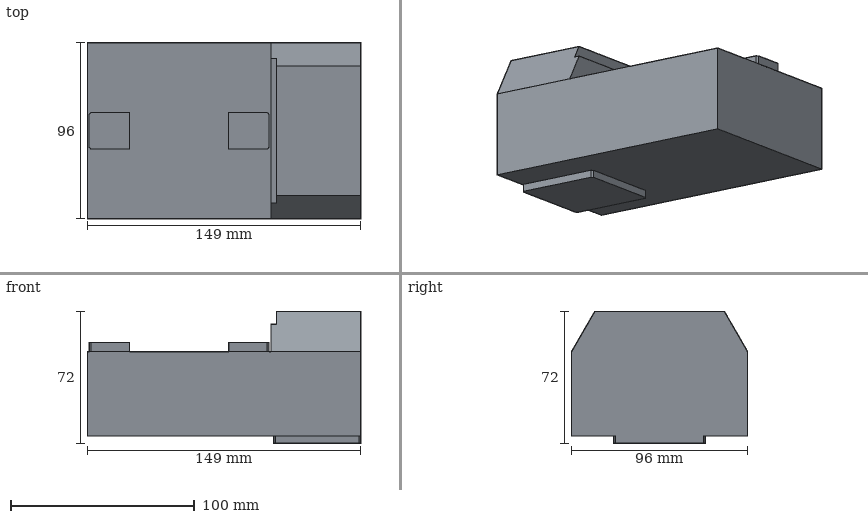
import cadquery as cq
import math

BODY_LENGTH = 149.0
BODY_WIDTH = 96.0
BODY_HEIGHT = 46.0

HEAD_START = 100.0
HEAD_HEIGHT = 22.0
HEAD_SIDE_ANGLE = 60.0
STEP_HEIGHT = 15.0
STEP_DEPTH = 3.0

PAD_LENGTH = 22.0
PAD_WIDTH = 20.0
PAD_HEIGHT = 5.0
PAD_END_GAP = 1.0

BASE_LENGTH = 47.5
BASE_WIDTH = 50.0
BASE_HEIGHT = 4.0

CORNER_CHAMFER = 1.0


def block(start_x, length, width, bottom_z, height):
    """Box centred on Y, starting at start_x and standing on bottom_z."""
    return (
        cq.Workplane("XY", origin=(start_x, 0, bottom_z))
        .box(length, width, height, centered=(False, True, False))
    )


def make_head():
    head_length = BODY_LENGTH - HEAD_START
    side_inset = HEAD_HEIGHT / math.tan(math.radians(HEAD_SIDE_ANGLE))
    half_foot = BODY_WIDTH / 2
    half_top = half_foot - side_inset
    head = (
        cq.Workplane("YZ", origin=(HEAD_START, 0, BODY_HEIGHT))
        .polyline([
            (-half_foot, 0),
            (half_foot, 0),
            (half_top, HEAD_HEIGHT),
            (-half_top, HEAD_HEIGHT),
        ])
        .close()
        .extrude(head_length)
    )
    step = block(
        HEAD_START, STEP_DEPTH, BODY_WIDTH, BODY_HEIGHT + STEP_HEIGHT, HEAD_HEIGHT - STEP_HEIGHT
    )
    return head.cut(step)


def make_pad(start_x, bevelled_end):
    pad = block(start_x, PAD_LENGTH, PAD_WIDTH, BODY_HEIGHT, PAD_HEIGHT)
    return pad.faces(bevelled_end).edges("|Z").chamfer(CORNER_CHAMFER)


def make_base():
    base = block(BODY_LENGTH - BASE_LENGTH, BASE_LENGTH, BASE_WIDTH, -BASE_HEIGHT, BASE_HEIGHT)
    return base.edges("|Z").chamfer(CORNER_CHAMFER)


body = block(0, BODY_LENGTH, BODY_WIDTH, 0, BODY_HEIGHT)
left_pad = make_pad(PAD_END_GAP, "<X")
right_pad = make_pad(HEAD_START - PAD_END_GAP - PAD_LENGTH, ">X")

result = body.union(make_head()).union(left_pad).union(right_pad).union(make_base())